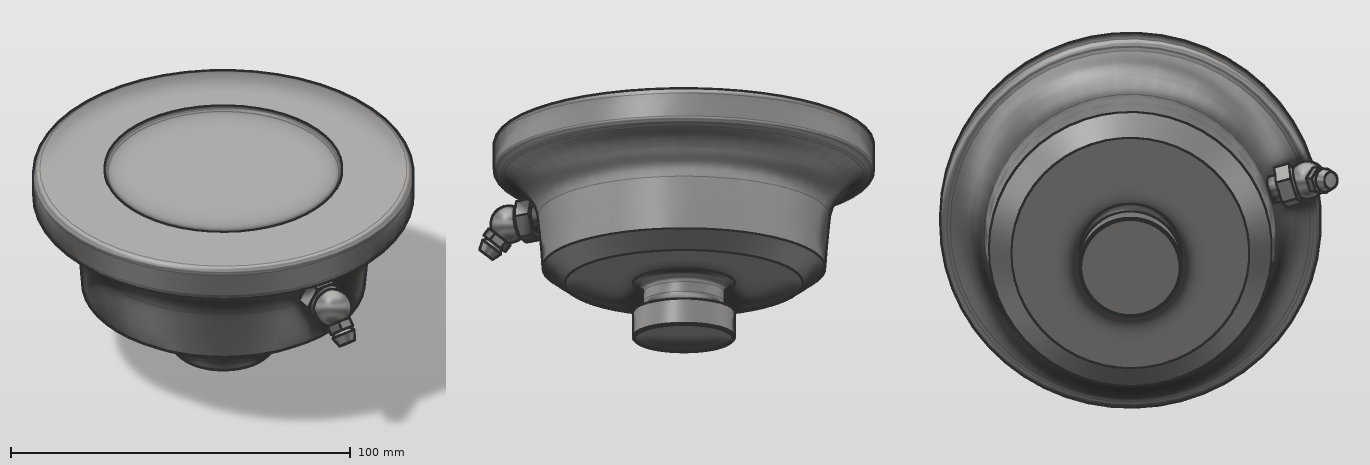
import cadquery as cq
import math

COLLAR_TOP_Z = 8.0
HOUSING_BOTTOM_Z = 17.0
TAPER_BOTTOM_Z = 21.75
TAPER_TOP_Z = 37.3
FLANGE_BOTTOM_Z = 50.0
HOUSING_TOP_Z = 61.0

FLANGE_RADIUS = 112.0 / 2
FLANGE_ROUND = 2.0
UNDERSIDE_INNER_RADIUS = 53.0
UNDERSIDE_DROP = 0.25
HOUSING_BOTTOM_RADIUS = 70.0 / 2
TAPER_ANGLE = 5.0
TAPER_TOP_RADIUS = 43.0
RECESS_RADIUS = 70.0 / 2
RECESS_DEPTH = 1.5
RECESS_ROUND = 1.0

COLLAR_RADIUS = 30.0 / 2
NECK_RADIUS = 24.0 / 2
NECK_ROUND = COLLAR_RADIUS - NECK_RADIUS
COLLAR_CHAMFER = 0.5

BALL_CENTRE_X = 54.5
BALL_CENTRE_Z = 40.3
BALL_RADIUS = 11.0 / 2
STEM_RADIUS = 8.0 / 2
STEM_END = 16.0
BASE_HEX_FLATS = 11.0
BASE_HEX_INNER_END = 8.25
BASE_HEX_OUTER_END = 3.75
BASE_CONE_LENGTH = 0.75
BASE_CONE_END = BASE_HEX_OUTER_END - BASE_CONE_LENGTH
BASE_CONE_END_RADIUS = math.sqrt(BALL_RADIUS**2 - BASE_CONE_END**2)

ELBOW_ANGLE = 45.0
NIPPLE_HEX_FLATS = 7.0
NIPPLE_HEX_START = 4.6
NIPPLE_HEX_END = 7.2
HEAD_WIDEST_START = 8.45
HEAD_WIDEST_RADIUS = 6.92 / 2
HEAD_NARROW_RADIUS = 4.92 / 2
HEAD_END = 11.29


def corner_diameter(flats):
    """Diameter across the corners of a hexagon, from its width across flats."""
    return 2 * flats / math.sqrt(3)


def ball_plane(tilt_below_horizontal):
    """Plane at the ball centre, its normal in XZ, pointing outward and down by the given angle."""
    tilt = math.radians(tilt_below_horizontal)
    normal = (math.cos(tilt), 0, -math.sin(tilt))
    return cq.Plane((BALL_CENTRE_X, 0, BALL_CENTRE_Z), xDir=(0, 1, 0), normal=normal)


def make_housing():
    """Flanged, tapered housing with a shallow round recess in its top face."""
    taper_height = TAPER_TOP_Z - TAPER_BOTTOM_Z
    taper_bottom_radius = TAPER_TOP_RADIUS - taper_height * math.tan(math.radians(TAPER_ANGLE))
    recess_floor_z = HOUSING_TOP_Z - RECESS_DEPTH
    diagonal = FLANGE_ROUND * (1 - math.sqrt(0.5))
    recess_diagonal = RECESS_ROUND * (1 - math.sqrt(0.5))
    profile = (
        cq.Workplane("XZ")
        .moveTo(0, HOUSING_BOTTOM_Z)
        .lineTo(HOUSING_BOTTOM_RADIUS, HOUSING_BOTTOM_Z)
        .lineTo(taper_bottom_radius, TAPER_BOTTOM_Z)
        .lineTo(TAPER_TOP_RADIUS, TAPER_TOP_Z)
        .tangentArcPoint((UNDERSIDE_INNER_RADIUS, FLANGE_BOTTOM_Z - UNDERSIDE_DROP), relative=False)
        .lineTo(FLANGE_RADIUS - FLANGE_ROUND, FLANGE_BOTTOM_Z)
        .threePointArc(
            (FLANGE_RADIUS - diagonal, FLANGE_BOTTOM_Z + diagonal),
            (FLANGE_RADIUS, FLANGE_BOTTOM_Z + FLANGE_ROUND),
        )
        .lineTo(FLANGE_RADIUS, HOUSING_TOP_Z - FLANGE_ROUND)
        .threePointArc(
            (FLANGE_RADIUS - diagonal, HOUSING_TOP_Z - diagonal),
            (FLANGE_RADIUS - FLANGE_ROUND, HOUSING_TOP_Z),
        )
        .lineTo(RECESS_RADIUS, HOUSING_TOP_Z)
        .lineTo(RECESS_RADIUS, recess_floor_z + RECESS_ROUND)
        .threePointArc(
            (RECESS_RADIUS - recess_diagonal, recess_floor_z + recess_diagonal),
            (RECESS_RADIUS - RECESS_ROUND, recess_floor_z),
        )
        .lineTo(0, recess_floor_z)
        .close()
    )
    return profile.revolve(360, (0, 0), (0, 1))


def make_stud():
    """Round stud under the housing: a collar and a neck that flares at both ends."""
    bend = NECK_ROUND * math.sqrt(0.5)
    lower_centre_z = COLLAR_TOP_Z + NECK_ROUND
    upper_centre_z = HOUSING_BOTTOM_Z - NECK_ROUND
    profile = (
        cq.Workplane("XZ")
        .lineTo(COLLAR_RADIUS - COLLAR_CHAMFER, 0)
        .lineTo(COLLAR_RADIUS, COLLAR_CHAMFER)
        .lineTo(COLLAR_RADIUS, COLLAR_TOP_Z)
        .threePointArc((COLLAR_RADIUS - bend, lower_centre_z - bend), (NECK_RADIUS, lower_centre_z))
        .lineTo(NECK_RADIUS, upper_centre_z)
        .threePointArc((COLLAR_RADIUS - bend, upper_centre_z + bend), (COLLAR_RADIUS, HOUSING_BOTTOM_Z))
        .lineTo(0, HOUSING_BOTTOM_Z)
        .close()
    )
    return profile.revolve(360, (0, 0), (0, 1))


def make_fitting():
    """Fitting square to the tapered wall: stem, hexagon, cone and ball with a flat for the nipple."""
    axis_plane = cq.Workplane(ball_plane(TAPER_ANGLE))
    stem = axis_plane.workplane(offset=-STEM_END).circle(STEM_RADIUS).extrude(STEM_END)
    hex_block = (
        axis_plane.workplane(offset=-BASE_HEX_INNER_END)
        .polygon(6, corner_diameter(BASE_HEX_FLATS))
        .extrude(BASE_HEX_INNER_END - BASE_HEX_OUTER_END)
    )
    cone = (
        axis_plane.workplane(offset=-BASE_HEX_OUTER_END)
        .circle(BASE_HEX_FLATS / 2)
        .workplane(offset=BASE_CONE_LENGTH)
        .circle(BASE_CONE_END_RADIUS)
        .loft()
    )
    ball = axis_plane.sphere(BALL_RADIUS)
    cap = (
        cq.Workplane(ball_plane(TAPER_ANGLE + ELBOW_ANGLE))
        .workplane(offset=NIPPLE_HEX_START)
        .circle(BALL_RADIUS)
        .extrude(BALL_RADIUS)
    )
    return stem.union(hex_block).union(cone).union(ball).cut(cap)


def make_nipple():
    """Grease nipple seated on the flat of the ball: a hexagon and a flared, tapering head."""
    nipple_plane = ball_plane(TAPER_ANGLE + ELBOW_ANGLE)
    hex_block = (
        cq.Workplane(nipple_plane)
        .workplane(offset=NIPPLE_HEX_START)
        .polygon(6, corner_diameter(NIPPLE_HEX_FLATS))
        .extrude(NIPPLE_HEX_END - NIPPLE_HEX_START)
    )
    flare = (
        cq.Workplane(nipple_plane)
        .workplane(offset=NIPPLE_HEX_END)
        .circle(HEAD_NARROW_RADIUS)
        .workplane(offset=HEAD_WIDEST_START - NIPPLE_HEX_END)
        .circle(HEAD_WIDEST_RADIUS)
        .loft()
    )
    head = (
        cq.Workplane(nipple_plane)
        .workplane(offset=HEAD_WIDEST_START)
        .circle(HEAD_WIDEST_RADIUS)
        .workplane(offset=HEAD_END - HEAD_WIDEST_START)
        .circle(HEAD_NARROW_RADIUS)
        .loft()
    )
    return hex_block.union(flare).union(head)


stud = make_stud()
fitting = make_fitting()
nipple = make_nipple()

housing = make_housing().cut(fitting)

result = cq.Compound.makeCompound(
    [
        housing.solids().val(),
        stud.solids().val(),
        fitting.solids().val(),
        nipple.solids().val(),
    ]
)